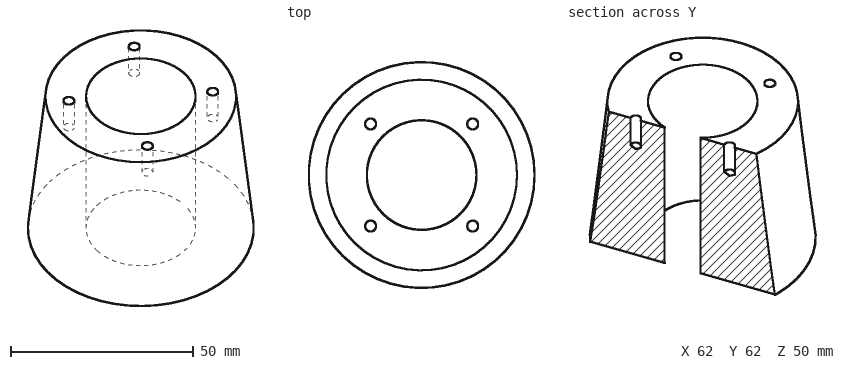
import cadquery as cq
import math

height = 50.0
base_diameter = 62.0
top_diameter = 52.3

bore_diameter = 30.0

screw_hole_diameter = 3.0
screw_hole_spacing = 28.0
screw_hole_depth = 10.0
drill_point_angle = 118.0


def revolve_about_z(profile):
    """Solid of revolution about the Z axis from (radius, z) outline points."""
    return cq.Workplane("XZ").polyline(profile).close().revolve(360, (0, 0, 0), (0, 1, 0))


def make_body():
    """Truncated cone standing on the XY plane, pierced by the central bore."""
    return revolve_about_z([
        (bore_diameter / 2, 0),
        (base_diameter / 2, 0),
        (top_diameter / 2, height),
        (bore_diameter / 2, height),
    ])


def make_screw_hole():
    """Cutter for one drilled hole, its mouth centred on the origin and pointing down."""
    radius = screw_hole_diameter / 2
    point_length = radius / math.tan(math.radians(drill_point_angle / 2))
    return revolve_about_z([
        (0, 0),
        (radius, 0),
        (radius, -screw_hole_depth),
        (0, -screw_hole_depth - point_length),
    ])


def cut_screw_holes(body):
    """Drill the four screw holes into the top face."""
    half_spacing = screw_hole_spacing / 2
    for x in (-half_spacing, half_spacing):
        for y in (-half_spacing, half_spacing):
            body = body.cut(make_screw_hole().translate((x, y, height)))
    return body


result = cut_screw_holes(make_body())